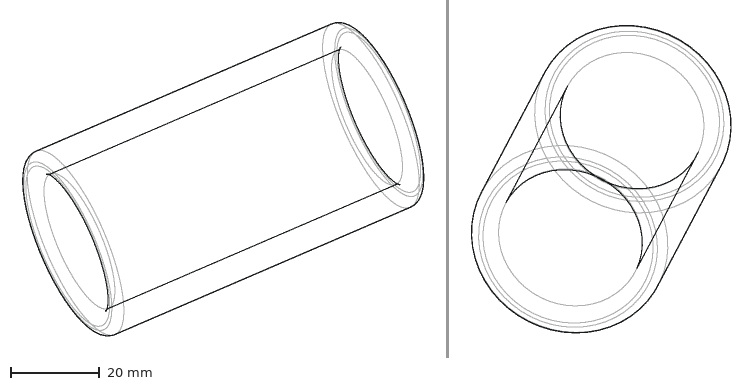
import cadquery as cq

length = 80.0
outer_diameter = 45.0
bore_diameter = 33.0
outer_rim_fillet = 2.0
bore_rim_fillet = 3.0

outer_radius = outer_diameter / 2
bore_radius = bore_diameter / 2
half_length = length / 2


def sleeve_section():
    """Wall section in the YZ plane, on the +Z side of the axis."""
    wall = outer_radius - bore_radius
    wall_middle = (outer_radius + bore_radius) / 2
    return cq.Sketch().push([(0, wall_middle)]).rect(length, wall).reset()


def rounded_section():
    """Wall section with its bore corners and outer corners rounded."""
    section = sleeve_section()
    section = section.vertices("<Y").fillet(bore_rim_fillet).reset()
    return section.vertices(">Y").fillet(outer_rim_fillet).reset()


axis_start = (-half_length, 0)
axis_end = (half_length, 0)
result = cq.Workplane("YZ").placeSketch(rounded_section()).revolve(360, axis_start, axis_end)